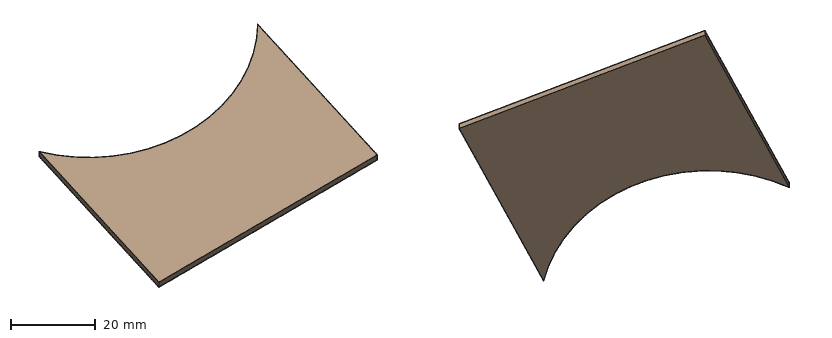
import cadquery as cq

plate_length = 48.0
plate_width = 64.0
plate_thickness = 2.0
arc_depth = 16.0

left_x = -plate_length / 2
right_x = plate_length / 2
front_y = -plate_width / 2
back_y = plate_width / 2
arc_middle_x = left_x + arc_depth


def make_plate():
    """Flat plate with three straight edges and a concave arc as its -X edge."""
    return (
        cq.Workplane("XY")
        .moveTo(left_x, front_y)
        .lineTo(right_x, front_y)
        .lineTo(right_x, back_y)
        .lineTo(left_x, back_y)
        .threePointArc((arc_middle_x, 0), (left_x, front_y))
        .close()
        .extrude(plate_thickness)
    )


result = make_plate()